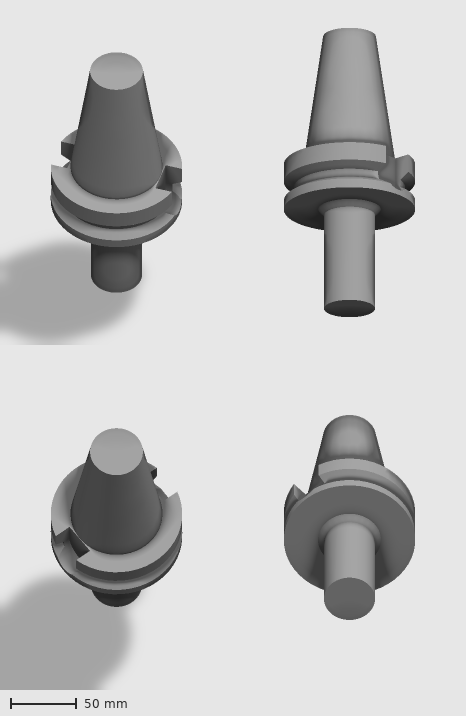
import cadquery as cq

total_height = 219.8
shank_length = 80.0
shank_cone_height = 4.6
flange_height = 36.5
collar_height = 1.5
lower_rim_height = 7.3
upper_rim_height = 14.0
groove_flank_height = 4.6

shank_diameter = 39.0
shank_cone_diameter = 48.0
flange_diameter = 100.0
groove_diameter = 84.8
gauge_diameter = 70.0
taper_ratio = 7 / 24

slot_width = 25.7
slot_floor_above_flange = 4.0
slot_face_offset = 35.2

flange_bottom = shank_length
flange_top = flange_bottom + flange_height
gauge_plane = flange_top + collar_height


def revolved_body():
    """Shank, grooved flange and taper as one turned profile."""
    shank_radius = shank_diameter / 2
    flange_radius = flange_diameter / 2
    groove_radius = groove_diameter / 2
    gauge_radius = gauge_diameter / 2
    taper_length = total_height - gauge_plane
    tip_radius = gauge_radius - taper_length * taper_ratio / 2
    lower_rim_top = flange_bottom + lower_rim_height
    upper_rim_bottom = flange_top - upper_rim_height

    profile = [
        (0, 0),
        (shank_radius, 0),
        (shank_radius, flange_bottom - shank_cone_height),
        (shank_cone_diameter / 2, flange_bottom),
        (flange_radius, flange_bottom),
        (flange_radius, lower_rim_top),
        (groove_radius, lower_rim_top + groove_flank_height),
        (groove_radius, upper_rim_bottom - groove_flank_height),
        (flange_radius, upper_rim_bottom),
        (flange_radius, flange_top),
        (gauge_radius, flange_top),
        (gauge_radius, gauge_plane),
        (tip_radius, total_height),
        (0, total_height),
    ]
    return cq.Workplane("XZ").polyline(profile).close().revolve(360, (0, 0), (0, 1))


def drive_slot_cutter():
    """Round-bottomed slot on the +X side, open at the flange top and rim."""
    half_width = slot_width / 2
    slot_floor = flange_bottom + slot_floor_above_flange
    arc_center = slot_floor + half_width
    cut_depth = flange_diameter / 2 - slot_face_offset
    return (
        cq.Workplane("YZ", origin=(slot_face_offset, 0, 0))
        .moveTo(-half_width, flange_top)
        .lineTo(-half_width, arc_center)
        .threePointArc((0, slot_floor), (half_width, arc_center))
        .lineTo(half_width, flange_top)
        .close()
        .extrude(cut_depth)
    )


result = revolved_body()
for side_angle in (0, 180):
    result = result.cut(drive_slot_cutter().rotate((0, 0, 0), (0, 0, 1), side_angle))